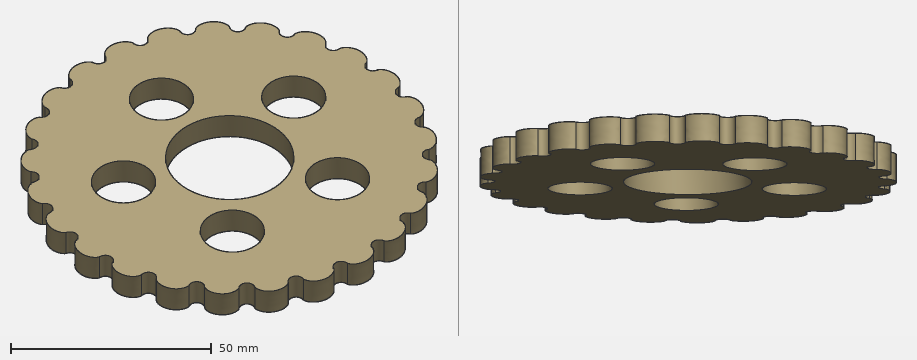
import cadquery as cq
import math

overall_width = 103.8
thickness = 7.0
lobe_count = 25

bore_diameter = 32.0
pin_hole_diameter = 16.0
pin_hole_count = 5
pin_hole_circle_radius = 28.0

lobe_pitch = 2 * math.pi / lobe_count
first_lobe_angle = -math.pi / 2
points_per_lobe = 17
bisection_steps = 50
fold_fraction = 0.45

side_lobe_offset = lobe_pitch / 4
half_width_ratio = (lobe_count + 2) * math.cos(side_lobe_offset * lobe_count / (lobe_count + 2)) - 1
rolling_radius = overall_width / 2 / half_width_ratio
valley_radius = rolling_radius
base_radius = lobe_count * rolling_radius


def polar(radius, angle):
    return (radius * math.cos(angle), radius * math.sin(angle))


def flank_point(turn):
    """Point of the offset epicycloid; turn 0 is the lobe tip on the X axis."""
    centre_distance = base_radius + rolling_radius
    fast_turn = (lobe_count + 1) * turn
    x = centre_distance * math.cos(turn) + rolling_radius * math.cos(fast_turn)
    y = centre_distance * math.sin(turn) + rolling_radius * math.sin(fast_turn)
    normal_angle = turn * (1 + lobe_count / 2)
    return (x - valley_radius * math.cos(normal_angle), y - valley_radius * math.sin(normal_angle))


def flank_end_turn():
    """Turn at which a lobe flank meets the round valley centred on the epicycloid cusp."""
    cusp = polar(base_radius, lobe_pitch / 2)
    outside = 0.0
    inside = fold_fraction * lobe_pitch
    for _ in range(bisection_steps):
        middle = (outside + inside) / 2
        if math.dist(flank_point(middle), cusp) > valley_radius:
            outside = middle
        else:
            inside = middle
    return outside


def rotated(point, angle):
    x, y = point
    return (
        x * math.cos(angle) - y * math.sin(angle),
        x * math.sin(angle) + y * math.cos(angle),
    )


def lobed_disc():
    end_turn = flank_end_turn()
    turns = [end_turn * (2 * i / (points_per_lobe - 1) - 1) for i in range(points_per_lobe)]
    lobe_points = [flank_point(turn) for turn in turns]
    valley_bottom = polar(base_radius - valley_radius, lobe_pitch / 2)

    outline = cq.Workplane("XY").moveTo(*rotated(lobe_points[0], first_lobe_angle))
    for lobe in range(lobe_count):
        angle = first_lobe_angle + lobe * lobe_pitch
        next_start = rotated(lobe_points[0], angle + lobe_pitch)
        outline = outline.spline([rotated(point, angle) for point in lobe_points[1:]], includeCurrent=True)
        outline = outline.threePointArc(rotated(valley_bottom, angle), next_start)
    return outline.close().extrude(thickness)


def bore():
    return cq.Workplane("XY").circle(bore_diameter / 2).extrude(thickness)


def pin_holes():
    return (
        cq.Workplane("XY")
        .polarArray(pin_hole_circle_radius, 0, 360, pin_hole_count)
        .circle(pin_hole_diameter / 2)
        .extrude(thickness)
    )


result = lobed_disc().cut(bore()).cut(pin_holes())